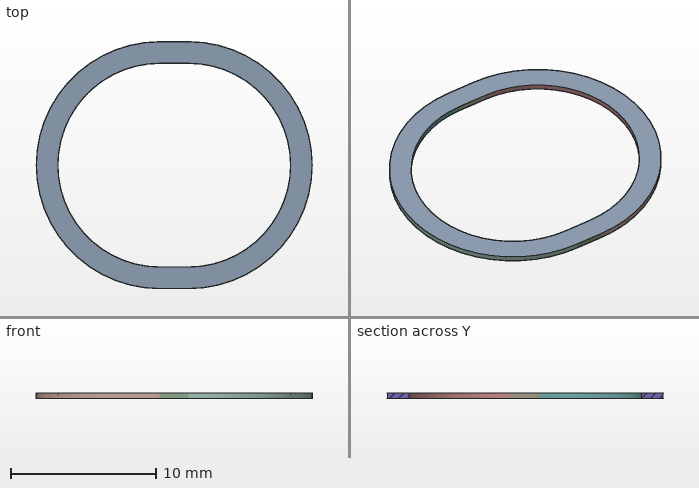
import cadquery as cq

length = 19.0
width = 17.0
thickness = 0.4
band_width = 1.5

straight_length = length - width


def stadium(outline_width):
    """Plate with straight sides along X and semicircular ends, centred on the origin."""
    return (
        cq.Workplane("XY")
        .slot2D(straight_length + outline_width, outline_width)
        .extrude(thickness)
    )


outer_plate = stadium(width)
opening = stadium(width - 2 * band_width)

result = outer_plate.cut(opening)